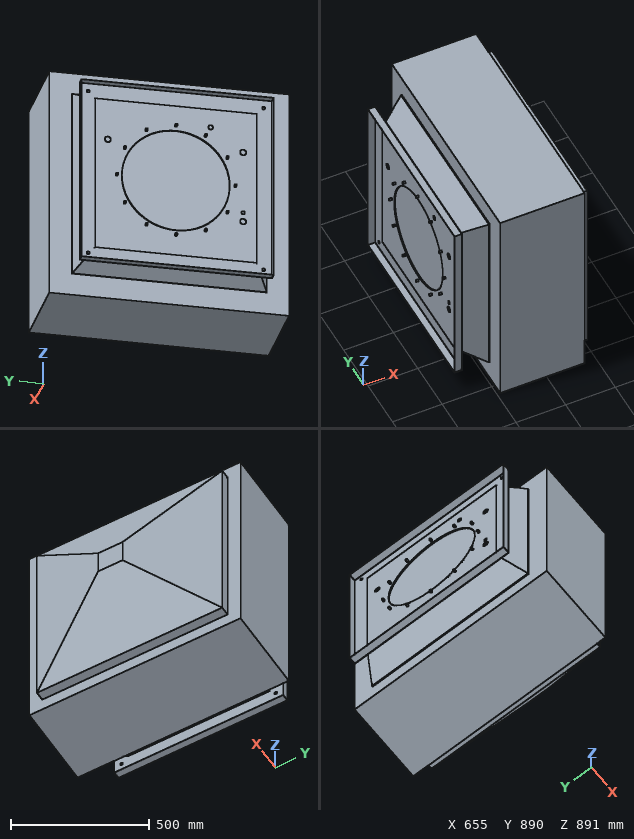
import cadquery as cq
import math

total_depth = 655.0
tray_depth = 30.0
housing_start = 140.0
housing_end = 481.0
frame_depth = 37.0
lip_depth = 4.0

housing_height = 891.0
housing_width = 890.0
frame_side = 780.5
tip_side = 103.0
lip_side = 722.0
duct_side = 599.0
tray_side = 713.0

sheet = 1.0

inlet_diameter = 400.0
inlet_depth = 4.5
stud_length = 10.0
stud_circle_diameter = 439.0
stud_count = 12
stud_diameter = 8.0
corner_hole_diameter = 11.0
corner_hole_offset = 325.0
large_hole_diameter = 22.0
left_hole_y = 252.0
right_hole_y = -249.5
large_hole_z = 139.0
medium_hole_diameter = 17.0
medium_hole_spot = (-129.0, 227.0)
small_hole_diameter = 12.5
small_hole_spot = (right_hole_y, -103.0)

tray_floor = tray_depth - sheet
frame_end = housing_end + frame_depth
lip_start = housing_start - lip_depth


def block(start, end, width, height):
    """Box centred on the axis, reaching from X = start to X = end."""
    return cq.Workplane("YZ", origin=(start, 0, 0)).rect(width, height).extrude(end - start)


def taper(start, end, start_side, end_side):
    """Square frustum centred on the axis."""
    return (
        cq.Workplane("YZ", origin=(start, 0, 0))
        .rect(start_side, start_side)
        .workplane(offset=end - start)
        .rect(end_side, end_side)
        .loft(ruled=True)
    )


def discs(start, end, diameter, spots):
    """Cylinders along X from start to end, centred on the given (y, z) spots."""
    return (
        cq.Workplane("YZ", origin=(start, 0, 0))
        .pushPoints(spots)
        .circle(diameter / 2)
        .extrude(end - start)
    )


def make_tray():
    """Open tray with its round holes cut through the floor."""
    inner_side = tray_side - 2 * sheet
    tray = block(0, tray_depth, tray_side, tray_side).cut(block(0, tray_floor, inner_side, inner_side))

    corner_spots = [(y * corner_hole_offset, z * corner_hole_offset) for y in (-1, 1) for z in (-1, 1)]
    large_spots = [
        (left_hole_y, large_hole_z),
        (right_hole_y, large_hole_z),
        (right_hole_y, -large_hole_z),
    ]
    hole_groups = [
        (corner_hole_diameter, corner_spots),
        (large_hole_diameter, large_spots),
        (medium_hole_diameter, [medium_hole_spot]),
        (small_hole_diameter, [small_hole_spot]),
    ]
    for diameter, spots in hole_groups:
        tray = tray.cut(discs(tray_floor, tray_depth, diameter, spots))
    return tray


def make_studs():
    """Ring of studs standing up from the tray floor around the inlet."""
    radius = stud_circle_diameter / 2
    angles = [2 * math.pi * index / stud_count for index in range(stud_count)]
    spots = [(radius * math.cos(angle), radius * math.sin(angle)) for angle in angles]
    return discs(tray_floor - stud_length, tray_depth, stud_diameter, spots)


duct = taper(tray_depth, lip_start, duct_side, lip_side)
lip = block(lip_start, housing_start, lip_side, lip_side)

housing = block(housing_start, housing_end, housing_width, housing_height)

frame = block(housing_end, frame_end, frame_side, frame_side)
hood = taper(frame_end, total_depth, frame_side, tip_side)

inlet = discs(tray_floor, tray_floor + inlet_depth, inlet_diameter, [(0, 0)])

result = make_tray().union(make_studs()).union(duct).union(lip)
result = result.union(housing).union(frame).union(hood).cut(inlet)